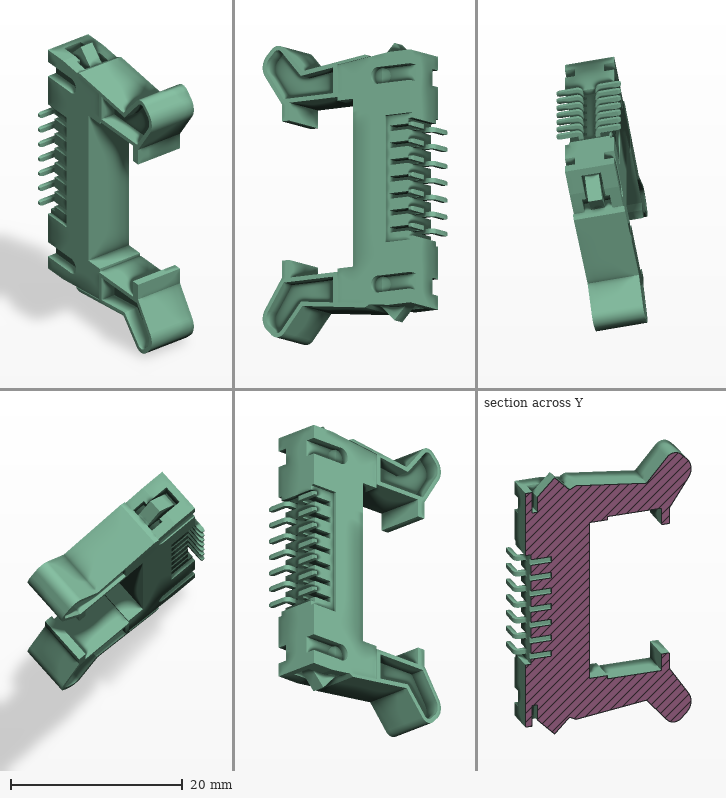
import cadquery as cq
import math

HOUSING_WIDTH = 5.85
HOUSING_HALF_HEIGHT = 15.0
HOUSING_FRONT_X = 8.0
EAR_FRONT_X = 10.22
EAR_INNER_Z = 9.95
EAR_TIP_Z = 14.15
TAPER_START_X = 3.0

REAR_RECESS_DEPTH = 0.65
REAR_RECESS_HALF_HEIGHT = 6.98
SIDE_RECESS_DEPTH_X = 3.63
SIDE_RECESS_HALF_HEIGHT = 7.53
SIDE_RECESS_HALF_WIDTH = 2.45

PINS_PER_ROW = 7
PIN_PITCH = 2.0
PIN_SIZE = 0.55
PIN_BACK_X = -0.8
PIN_LEG_INNER_Y = 0.73
PIN_TIP_Y = 3.8
PIN_TIP_LENGTH = 0.35
PIN_TIP_INSET = 0.085
PIN_BEND_RADIUS = 0.65
PIN_SLOT_HEIGHT = 0.65
PIN_SLOT_INNER_Y = 0.45
PIN_SLOT_END_X = 3.2

PIVOT_X = 4.52
PIVOT_Z = 12.35
PIVOT_RADIUS = 1.0
PIVOT_HALF_LENGTH = 2.05
CHANNEL_FLOOR_Y = 1.73
CHANNEL_NARROWING = 0.017
POCKET_DEPTH = 2.62
TAIL_SLOT_START_X = 0.85
TAIL_SLOT_HALF_WIDTH = 1.17
HUB_POCKET_START_X = 3.95
HUB_POCKET_HALF_WIDTH = 1.65

LEVER_WIDTH = 6.08
LEVER_WALL = 0.52
LEVER_WEB = 2.35
TAIL_WIDTH = 1.65
TAIL_START_X = 1.45
TAIL_TIP_X = 3.63
TAIL_TIP_Z = 16.45
TAIL_END_X = 5.3
NECK_START_X = 5.52
NECK_START_Z = 14.6
LIP_X = 6.3
LIP_Z = 15.0
ARM_BOTTOM_Z = 10.35
ELBOW_X = 15.05
ELBOW_Z = 13.9
GRIP_TOP_X = 18.47
GRIP_TOP_Z = 17.82
GRIP_TOP_RADIUS = 1.2
GRIP_END_X = 21.2
GRIP_END_Z = 15.12
GRIP_END_RADIUS = 1.95
HOOK_INNER_X = 16.92
HOOK_OUTER_X = 17.92
HOOK_END_Z = 8.25
HOOK_SHOULDER_Z = 10.25

HALF_WIDTH = HOUSING_WIDTH / 2
TAPER_SLOPE = (EAR_TIP_Z - HOUSING_HALF_HEIGHT) / (EAR_FRONT_X - TAPER_START_X)


def box(x0, x1, y0, y1, z0, z1):
    """Box between two opposite corners."""
    return cq.Workplane("XY").box(x1 - x0, y1 - y0, z1 - z0, centered=False).translate((x0, y0, z0))


def plate(points, width):
    """Plate with an outline in XZ, centred on y = 0."""
    return cq.Workplane("XZ").polyline(points).close().extrude(width / 2, both=True)


def both_sides(shape):
    """The shape and its mirror image across y = 0."""
    return shape.union(shape.mirror("XZ"))


def both_ends(shape):
    """The shape and its mirror image across z = 0."""
    return shape.union(shape.mirror("XY"))


def housing_top(x):
    """Height of the housing's upper face, flat at the rear and tapered toward the front."""
    return HOUSING_HALF_HEIGHT + TAPER_SLOPE * max(0, x - TAPER_START_X)


def pocket_floor(x):
    """Height of the floor of the lever pocket."""
    return housing_top(x) - POCKET_DEPTH


LIP_SLOPE = (LIP_Z - NECK_START_Z) / (LIP_X - NECK_START_X)
LIP_START_X = NECK_START_X + (housing_top(NECK_START_X) - NECK_START_Z) / (LIP_SLOPE - TAPER_SLOPE)
ARM_TOP_SLOPE = (ELBOW_Z - LIP_Z) / (ELBOW_X - LIP_X)
ARM_REAR_Z = LIP_Z + ARM_TOP_SLOPE * (EAR_FRONT_X - LIP_X)
GRIP_UNDERSIDE_RUN = (GRIP_END_X - HOOK_OUTER_X) / (GRIP_END_Z - HOOK_SHOULDER_Z)
ARM_END_X = HOOK_OUTER_X + GRIP_UNDERSIDE_RUN * (ARM_BOTTOM_Z - HOOK_SHOULDER_Z)


def make_housing():
    upper_half = plate(
        [
            (0, 0),
            (0, HOUSING_HALF_HEIGHT),
            (TAPER_START_X, HOUSING_HALF_HEIGHT),
            (EAR_FRONT_X, EAR_TIP_Z),
            (EAR_FRONT_X, EAR_INNER_Z),
            (HOUSING_FRONT_X, EAR_INNER_Z),
            (HOUSING_FRONT_X, 0),
        ],
        HOUSING_WIDTH,
    )
    rear_recess = box(
        0, REAR_RECESS_DEPTH, -HALF_WIDTH, HALF_WIDTH, -REAR_RECESS_HALF_HEIGHT, REAR_RECESS_HALF_HEIGHT
    )
    side_recess = box(
        0, SIDE_RECESS_DEPTH_X, SIDE_RECESS_HALF_WIDTH, HALF_WIDTH,
        -SIDE_RECESS_HALF_HEIGHT, SIDE_RECESS_HALF_HEIGHT,
    )
    return both_ends(upper_half).cut(rear_recess).cut(both_sides(side_recess))


def pocket(start_x, end_x, half_width):
    """Cutter open upward, whose floor runs parallel to the housing's upper face."""
    floor_x = [start_x, end_x]
    if start_x < TAPER_START_X < end_x:
        floor_x.insert(1, TAPER_START_X)
    floor = [(x, pocket_floor(x)) for x in floor_x]
    return plate(floor + [(end_x, TAIL_TIP_Z), (start_x, TAIL_TIP_Z)], 2 * half_width)


def side_cylinder(inner_y, outer_y):
    """Cylinder on the pivot axis between two values of y."""
    return (
        cq.Workplane("XZ", origin=(PIVOT_X, inner_y, PIVOT_Z))
        .circle(PIVOT_RADIUS)
        .extrude(inner_y - outer_y)
    )


def make_channel():
    """Cutter for the round-ended channel that leads from the rear face to the pivot's ramped end."""
    half_height = PIVOT_RADIUS - CHANNEL_NARROWING
    straight = box(
        0, PIVOT_X, CHANNEL_FLOOR_Y, HALF_WIDTH, PIVOT_Z - half_height, PIVOT_Z + half_height
    )
    ramp = (
        cq.Workplane("XY", origin=(0, 0, PIVOT_Z))
        .polyline(
            [
                (PIVOT_X - PIVOT_RADIUS, CHANNEL_FLOOR_Y),
                (PIVOT_X, PIVOT_HALF_LENGTH),
                (PIVOT_X, CHANNEL_FLOOR_Y),
            ]
        )
        .close()
        .extrude(PIVOT_RADIUS, both=True)
    )
    pivot_end = ramp.intersect(side_cylinder(CHANNEL_FLOOR_Y, PIVOT_HALF_LENGTH))
    round_end = side_cylinder(PIVOT_HALF_LENGTH, HALF_WIDTH)
    return both_sides(straight.cut(pivot_end).union(round_end))


def make_tail():
    """Pointed tail of the lever, with 45 degree flanks."""
    return plate(
        [
            (TAIL_START_X, pocket_floor(TAIL_START_X)),
            (TAIL_START_X, TAIL_TIP_Z - (TAIL_TIP_X - TAIL_START_X)),
            (TAIL_TIP_X, TAIL_TIP_Z),
            (TAIL_END_X, TAIL_TIP_Z - (TAIL_END_X - TAIL_TIP_X)),
            (NECK_START_X, NECK_START_Z),
            (NECK_START_X, pocket_floor(NECK_START_X)),
            (TAPER_START_X, pocket_floor(TAPER_START_X)),
        ],
        TAIL_WIDTH,
    )


def make_arm():
    """Lever arm with its rounded grip, hollowed from both sides down to a middle web."""
    arm = plate(
        [
            (EAR_FRONT_X, ARM_BOTTOM_Z),
            (EAR_FRONT_X, ARM_REAR_Z),
            (ELBOW_X, ELBOW_Z),
            (GRIP_TOP_X, GRIP_TOP_Z),
            (GRIP_END_X, GRIP_END_Z),
            (ARM_END_X, ARM_BOTTOM_Z),
        ],
        LEVER_WIDTH,
    )
    for x, z, radius in (
        (GRIP_TOP_X, GRIP_TOP_Z, GRIP_TOP_RADIUS),
        (GRIP_END_X, GRIP_END_Z, GRIP_END_RADIUS),
    ):
        arm = arm.edges(cq.selectors.NearestToPointSelector((x, 0, z))).fillet(radius)
    hollow_depth = (LEVER_WIDTH - LEVER_WEB) / 2
    for side in ("<Y", ">Y"):
        rim = arm.faces(side).wires().toPending().workplane()
        arm = rim.offset2D(-LEVER_WALL, "intersection").cutBlind(-hollow_depth)
    return arm


def make_hook():
    """Hook under the arm, running into the sloped underside of the grip."""
    return plate(
        [
            (HOOK_INNER_X, ARM_BOTTOM_Z),
            (HOOK_INNER_X, HOOK_END_Z),
            (HOOK_OUTER_X, HOOK_END_Z),
            (HOOK_OUTER_X, HOOK_SHOULDER_Z),
            (ARM_END_X, ARM_BOTTOM_Z),
        ],
        LEVER_WIDTH,
    )


def make_neck():
    """Neck that rises out of the pocket, and the lip that overlaps the tapered face of the housing."""
    overlap_start = (LIP_START_X, housing_top(LIP_START_X))
    lip = plate(
        [overlap_start, (LIP_X, LIP_Z), (EAR_FRONT_X, ARM_REAR_Z), (EAR_FRONT_X, EAR_TIP_Z)],
        LEVER_WIDTH,
    )
    neck = plate(
        [
            (NECK_START_X, pocket_floor(NECK_START_X)),
            (NECK_START_X, NECK_START_Z),
            overlap_start,
            (LIP_START_X, pocket_floor(LIP_START_X)),
        ],
        2 * HUB_POCKET_HALF_WIDTH,
    )
    return lip.union(neck)


def make_pin():
    """L-shaped pin with a tapered tip, centred on z = 0 and pointing toward +Y."""
    shank_end_y = PIN_TIP_Y - PIN_TIP_LENGTH
    foot = box(
        PIN_BACK_X, PIN_BACK_X + PIN_SIZE, PIN_LEG_INNER_Y, shank_end_y, -PIN_SIZE / 2, PIN_SIZE / 2
    )
    leg = box(
        PIN_BACK_X, PIN_SLOT_END_X, PIN_LEG_INNER_Y, PIN_LEG_INNER_Y + PIN_SIZE, -PIN_SIZE / 2, PIN_SIZE / 2
    )
    bend = cq.selectors.NearestToPointSelector((PIN_BACK_X, PIN_LEG_INNER_Y, 0))
    taper_angle = math.degrees(math.atan(PIN_TIP_INSET / PIN_TIP_LENGTH))
    tip = (
        cq.Workplane("XZ", origin=(PIN_BACK_X + PIN_SIZE / 2, shank_end_y, 0))
        .rect(PIN_SIZE, PIN_SIZE)
        .extrude(-PIN_TIP_LENGTH, taper=taper_angle)
    )
    return foot.union(leg).edges(bend).fillet(PIN_BEND_RADIUS).union(tip)


tail_slot = pocket(TAIL_SLOT_START_X, NECK_START_X, TAIL_SLOT_HALF_WIDTH)
hub_pocket = pocket(HUB_POCKET_START_X, LIP_START_X, HUB_POCKET_HALF_WIDTH)
pivot_hub = side_cylinder(-CHANNEL_FLOOR_Y, CHANNEL_FLOOR_Y)
end_cutters = tail_slot.union(hub_pocket).cut(pivot_hub).union(make_channel())
lever = make_arm().union(make_hook()).union(make_neck()).union(make_tail())
result = make_housing().cut(both_ends(end_cutters)).union(both_ends(lever))

pin_slot = both_sides(
    box(
        0, PIN_SLOT_END_X, PIN_SLOT_INNER_Y, SIDE_RECESS_HALF_WIDTH,
        -PIN_SLOT_HEIGHT / 2, PIN_SLOT_HEIGHT / 2,
    )
)
pin_pair = both_sides(make_pin())
for index in range(PINS_PER_ROW):
    z = (index - (PINS_PER_ROW - 1) / 2) * PIN_PITCH
    result = result.cut(pin_slot.translate((0, 0, z))).union(pin_pair.translate((0, 0, z)))